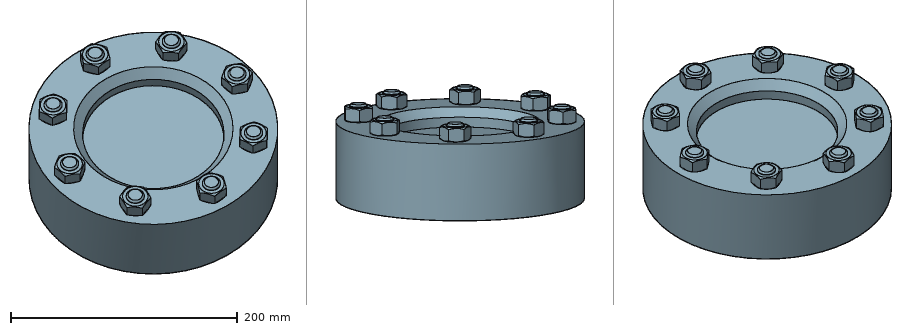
import cadquery as cq
import math

BODY_DIAMETER = 220.0
BODY_HEIGHT = 69.0

RECESS_DIAMETER = 125.0
RECESS_DEPTH = 16.7
RIM_CHAMFER = 8.0

BOLT_COUNT = 8
BOLT_CIRCLE_DIAMETER = 180.0
PITCH_ANGLE = 360 / BOLT_COUNT
FIRST_BOLT_ANGLE = PITCH_ANGLE / 2

NUT_ACROSS_FLATS = 24.0
NUT_ACROSS_CORNERS = NUT_ACROSS_FLATS / math.cos(math.radians(30))
NUT_HEIGHT = 13.0
NUT_FACE_DIAMETER = 22.5
NUT_BEVEL_ANGLE = 30

BOLT_DIAMETER = 16.0
BOLT_TOP_HEIGHT = 15.2
BOLT_CHAMFER = 1.8


def make_body():
    body = cq.Workplane("XY").circle(BODY_DIAMETER / 2).extrude(BODY_HEIGHT)
    body = body.faces(">Z").workplane().hole(RECESS_DIAMETER, RECESS_DEPTH)
    rim = body.faces(">Z").edges(cq.selectors.RadiusNthSelector(0))
    return rim.chamfer(RIM_CHAMFER)


def make_nut():
    """Hexagon with a corner on +X, trimmed by a turned outline that bevels its corners."""
    corner_radius = NUT_ACROSS_CORNERS / 2
    face_radius = NUT_FACE_DIAMETER / 2
    bevel_height = (corner_radius - face_radius) * math.tan(math.radians(NUT_BEVEL_ANGLE))
    turned_blank = (
        cq.Workplane("XZ")
        .polyline([
            (0, 0),
            (face_radius, 0),
            (corner_radius, bevel_height),
            (corner_radius, NUT_HEIGHT - bevel_height),
            (face_radius, NUT_HEIGHT),
            (0, NUT_HEIGHT),
        ])
        .close()
        .revolve(360, (0, 0, 0), (0, 1, 0))
    )
    hexagon = cq.Workplane("XY").polygon(6, NUT_ACROSS_CORNERS).extrude(NUT_HEIGHT)
    return hexagon.intersect(turned_blank)


def make_bolt_end():
    bolt_end = cq.Workplane("XY").circle(BOLT_DIAMETER / 2).extrude(BOLT_TOP_HEIGHT)
    return bolt_end.faces(">Z").chamfer(BOLT_CHAMFER)


fastener = make_nut().union(make_bolt_end())
bolt_radius = BOLT_CIRCLE_DIAMETER / 2
first_angle = math.radians(FIRST_BOLT_ANGLE)
first_fastener = fastener.translate(
    (bolt_radius * math.cos(first_angle), bolt_radius * math.sin(first_angle), BODY_HEIGHT)
)

result = make_body()
for index in range(BOLT_COUNT):
    result = result.union(first_fastener.rotate((0, 0, 0), (0, 0, 1), index * PITCH_ANGLE))